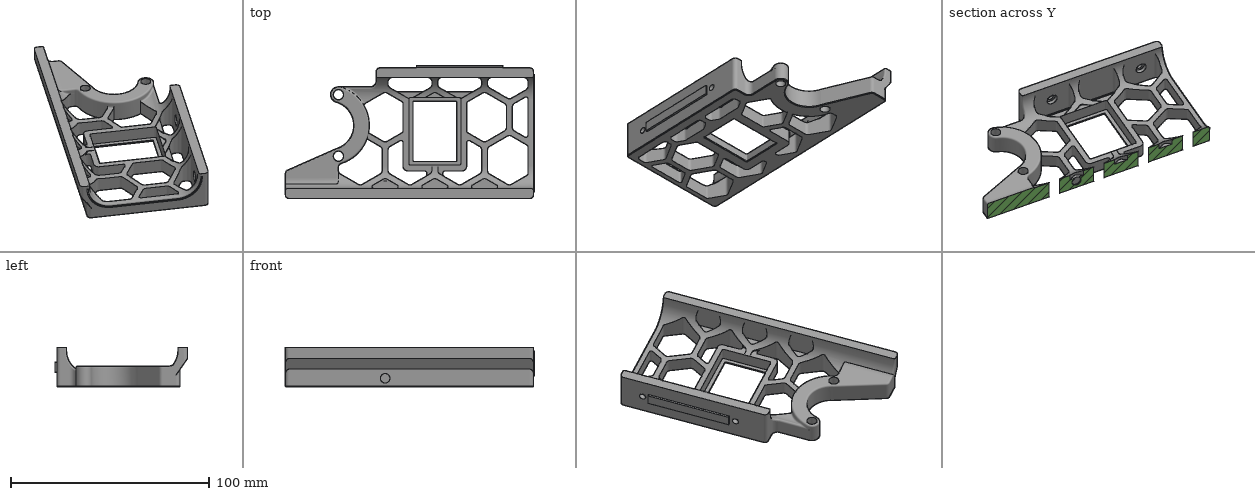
import cadquery as cq
import math

LENGTH = 125.2
BODY_WIDTH = 66.0
HEIGHT = 20.0
WALL = 5.0
BACK_WALL_INNER = BODY_WIDTH - WALL
BACK_WALL_START = 45.8
CORNER_RADIUS = 2.0
EDGE_RADIUS = 0.9
BOTTOM_CHAMFER = 0.4

FLOOR_TOP = 7.2
COVE_RADIUS = 11.0
COVE_TOP = FLOOR_TOP + COVE_RADIUS
RAIL_SETBACK = 3.8
SLOPE_BOTTOM = 9.0
SLOPE_TOP = 14.4

TOLERANCE = 0.1
TOP_EDGE_LIMIT = HEIGHT - 2 * TOLERANCE

ARC_CENTRE = (22.3, 36.9)
SCREW_SPACING = 31.0
SCREW_X = 26.8
SCREW_DIAMETER = 5.0
TIP_RADIUS = 4.0
BOSS_TOP = 10.5
BASE_FILLET = 0.8
FOOT_EDGE_Y = 13.9
FOOT_COVE_RADIUS = 5.2
FOOT_CORNER_RADIUS = 2.0
OUTLINE_FILLET = 3.0

HEX_SIDES = 6
HEX_ROTATION = 180 / HEX_SIDES
HEX_FLATS = 22.0
HEX_PITCH = 25.05
HEX_ROW_PITCH = HEX_PITCH * math.sqrt(3) / 2
HEX_CORNER_RADIUS = 2.0
TRIM_CORNER_RADIUS = 1.0
END_BORDER = 2.9

FRAME_CENTRE = (75.4, 33.9)
RECESS_SIZE = (26.2, 34.0)
RECESS_CORNER_RADIUS = 0.8
WINDOW_SIZE = (22.0, 30.2)
FRAME_RIM = 3.0
FRAME_CORNER_RADIUS = 2.5
FRAME_SIZE = (RECESS_SIZE[0] + 2 * FRAME_RIM, RECESS_SIZE[1] + 2 * FRAME_RIM)
HEADER_LENGTH = 40.2
STUB_WIDTH = 8.2
WINDOW_LEDGE = 0.8

HEX_ROW_1_Y = 41.05
THROUGH_CELLS = [
    (-1, 0), (0, 0), (1, 0),
    (-1, 1), (1, 1), (2, 1),
    (-2, 2), (-1, 2), (0, 2), (1, 2),
]
POCKET_CELLS = [(0, 1), (-1, 3), (0, 3), (1, 3)]

KEY_CENTRE_X = FRAME_CENTRE[0] + HEX_PITCH / 2
KEY_LENGTH = 43.6
KEY_HEIGHT = 5.2
KEY_DEPTH = 1.0
MID_HEIGHT = HEIGHT / 2
WALL_HOLE_DIAMETER = 3.2
WALL_BORE_DIAMETER = 5.6
WALL_BORE_DEPTH = 2.0

RAIL_HOLE_X = FRAME_CENTRE[0] - HEX_PITCH
RAIL_HOLE_Z = 4.4
RAIL_HOLE_DIAMETER = 4.8
RAIL_HOLE_DEPTH = 5.0

LIP_DEPTH = 0.3
LIP_INNER_OFFSET = EDGE_RADIUS
LIP_OUTER_OFFSET = 1.6

UPPER_SCREW = (SCREW_X, ARC_CENTRE[1] + SCREW_SPACING / 2)
LOWER_SCREW = (SCREW_X, ARC_CENTRE[1] - SCREW_SPACING / 2)
SCREW_RADIUS = math.hypot(SCREW_X - ARC_CENTRE[0], SCREW_SPACING / 2)
SCREW_ANGLE = math.atan2(SCREW_SPACING / 2, SCREW_X - ARC_CENTRE[0])
INNER_RADIUS = SCREW_RADIUS - TIP_RADIUS
OUTER_RADIUS = SCREW_RADIUS + TIP_RADIUS
TIP_TOP_Y = UPPER_SCREW[1] + TIP_RADIUS


def on_circle(centre, radius, angle):
    """Point at the given angle (radians) on a circle."""
    return (centre[0] + radius * math.cos(angle), centre[1] + radius * math.sin(angle))


INNER_UPPER = on_circle(ARC_CENTRE, INNER_RADIUS, SCREW_ANGLE)
INNER_LOWER = on_circle(ARC_CENTRE, INNER_RADIUS, -SCREW_ANGLE)
INNER_MIDDLE = on_circle(ARC_CENTRE, INNER_RADIUS, 0)
OUTER_UPPER = on_circle(ARC_CENTRE, OUTER_RADIUS, SCREW_ANGLE)
OUTER_MIDDLE = on_circle(ARC_CENTRE, OUTER_RADIUS, 0)
OUTER_LOWER = (
    SCREW_X,
    ARC_CENTRE[1] - math.sqrt(OUTER_RADIUS**2 - (SCREW_X - ARC_CENTRE[0]) ** 2),
)
TIP_LEFT = on_circle(UPPER_SCREW, TIP_RADIUS, math.pi)


def box(x0, x1, y0, y1, z0, z1):
    """Box between opposite corners."""
    return cq.Workplane("XY").box(x1 - x0, y1 - y0, z1 - z0, centered=False).translate((x0, y0, z0))


def cove_profile(offset):
    """Open sketch along the floor and both coves, moved into the material by the offset."""
    radius = COVE_RADIUS + offset
    diagonal = radius / math.sqrt(2)
    back_centre_y = BACK_WALL_INNER - COVE_RADIUS
    front_centre_y = WALL + COVE_RADIUS
    return (
        cq.Workplane("YZ")
        .moveTo(back_centre_y + radius, COVE_TOP)
        .threePointArc(
            (back_centre_y + diagonal, COVE_TOP - diagonal),
            (back_centre_y, COVE_TOP - radius),
        )
        .lineTo(front_centre_y, COVE_TOP - radius)
        .threePointArc(
            (front_centre_y - diagonal, COVE_TOP - diagonal),
            (front_centre_y - radius, COVE_TOP),
        )
    )


def make_tray():
    """Wall-and-floor section along X, with rounded front corners and cove ends."""
    tray = (
        cove_profile(0)
        .lineTo(WALL, HEIGHT)
        .lineTo(0, HEIGHT)
        .lineTo(0, SLOPE_TOP)
        .lineTo(RAIL_SETBACK, SLOPE_BOTTOM)
        .lineTo(RAIL_SETBACK, 0)
        .lineTo(BODY_WIDTH, 0)
        .lineTo(BODY_WIDTH, HEIGHT)
        .lineTo(BACK_WALL_INNER, HEIGHT)
        .close()
        .extrude(LENGTH)
    )
    front_ends = cq.selectors.BoxSelector(
        (-TOLERANCE, -TOLERANCE, 0),
        (LENGTH + TOLERANCE, RAIL_SETBACK + TOLERANCE, HEIGHT),
    )
    tray = tray.edges(front_ends).edges("|Z").fillet(CORNER_RADIUS)
    tray = tray.intersect(make_stepped_outline())
    far_end = (LENGTH, WALL, FLOOR_TOP), (LENGTH, BACK_WALL_INNER, TOP_EDGE_LIMIT)
    back_start = (0, TIP_TOP_Y, FLOOR_TOP), (BACK_WALL_START, BACK_WALL_INNER, TOP_EDGE_LIMIT)
    tray = round_edges_within(tray, *far_end)
    tray = round_edges_within(tray, *back_start)
    tray = tray.cut(make_opening())
    foot_corner = cq.selectors.NearestToPointSelector((0, FOOT_EDGE_Y, FLOOR_TOP / 2))
    tray = tray.edges(foot_corner).fillet(FOOT_CORNER_RADIUS)
    front_start = (0, WALL, FLOOR_TOP), (0, FOOT_EDGE_Y - FOOT_CORNER_RADIUS, TOP_EDGE_LIMIT)
    return round_edges_within(tray, *front_start)


def round_edges_within(body, low, high):
    """Round the edges whose centres lie between two opposite corners of a box."""
    low = tuple(value - TOLERANCE for value in low)
    high = tuple(value + TOLERANCE for value in high)
    return body.edges(cq.selectors.BoxSelector(low, high)).fillet(EDGE_RADIUS)


def make_stepped_outline():
    """Plan shape with the step where the back wall begins, as a tall prism."""
    outline = (
        cq.Workplane("XY")
        .moveTo(0, 0)
        .lineTo(LENGTH, 0)
        .lineTo(LENGTH, BODY_WIDTH)
        .lineTo(BACK_WALL_START, BODY_WIDTH)
        .lineTo(BACK_WALL_START, TIP_TOP_Y)
        .lineTo(0, TIP_TOP_Y)
        .close()
        .extrude(HEIGHT)
    )
    outline = outline.edges("|Z and >Y").fillet(CORNER_RADIUS)
    inner_corner = cq.selectors.NearestToPointSelector((BACK_WALL_START, TIP_TOP_Y, MID_HEIGHT))
    return outline.edges(inner_corner).fillet(OUTLINE_FILLET)


def make_opening():
    """Open area inside the crescent and above the foot, as a tall prism."""
    return (
        cq.Workplane("XY")
        .moveTo(0, TIP_TOP_Y)
        .lineTo(SCREW_X, TIP_TOP_Y)
        .threePointArc(TIP_LEFT, INNER_UPPER)
        .threePointArc(INNER_MIDDLE, INNER_LOWER)
        .lineTo(0, FOOT_EDGE_Y)
        .close()
        .extrude(HEIGHT)
    )


def make_boss(height):
    """Crescent and foot prism; its front edge is buried in the front cove."""
    front_y = RAIL_SETBACK + CORNER_RADIUS
    boss = (
        cq.Workplane("XY")
        .moveTo(0, front_y)
        .lineTo(SCREW_X, front_y)
        .lineTo(*OUTER_LOWER)
        .threePointArc(OUTER_MIDDLE, OUTER_UPPER)
        .threePointArc(TIP_LEFT, INNER_UPPER)
        .threePointArc(INNER_MIDDLE, INNER_LOWER)
        .lineTo(0, FOOT_EDGE_Y)
        .close()
        .extrude(height)
    )
    foot_corner = cq.selectors.NearestToPointSelector((0, FOOT_EDGE_Y, height / 2))
    neck_corner = cq.selectors.NearestToPointSelector((*OUTER_LOWER, height / 2))
    boss = boss.edges(foot_corner).fillet(FOOT_CORNER_RADIUS)
    return boss.edges(neck_corner).fillet(FOOT_CORNER_RADIUS)


def make_foot_cove():
    """Concave fillet between the foot's top and the front wall."""
    centre_y = WALL + FOOT_COVE_RADIUS
    centre_z = BOSS_TOP + FOOT_COVE_RADIUS
    diagonal = FOOT_COVE_RADIUS / math.sqrt(2)
    cove = (
        cq.Workplane("YZ")
        .moveTo(centre_y, BOSS_TOP)
        .threePointArc((centre_y - diagonal, centre_z - diagonal), (WALL, centre_z))
        .lineTo(WALL, FLOOR_TOP)
        .lineTo(centre_y, FLOOR_TOP)
        .close()
        .extrude(SCREW_X)
    )
    return cove.edges("%CIRCLE").fillet(EDGE_RADIUS)


def hex_cell(column, row):
    """Tall hexagonal prism; even rows are shifted by half a pitch."""
    shift = 0 if row % 2 else HEX_PITCH / 2
    x = FRAME_CENTRE[0] + column * HEX_PITCH + shift
    y = HEX_ROW_1_Y + (1 - row) * HEX_ROW_PITCH
    corner_diameter = HEX_FLATS / math.cos(math.pi / HEX_SIDES)
    cell = cq.Workplane("XY").polygon(HEX_SIDES, corner_diameter).extrude(HEIGHT)
    return cell.rotate((0, 0, 0), (0, 0, 1), HEX_ROTATION).translate((x, y, 0))


def rounded_cell(cell, trimmed, trim_radius):
    """Trimmed cell with its trimmed corners and its own hexagon corners rounded separately."""
    rounded_trim = trimmed.edges("|Z").fillet(trim_radius)
    return rounded_trim.intersect(cell.edges("|Z").fillet(HEX_CORNER_RADIUS))


def frame_prism():
    """Rectangle around the window that through cells leave standing."""
    return cq.Workplane("XY").center(*FRAME_CENTRE).rect(*FRAME_SIZE).extrude(HEIGHT)


def make_kept_area():
    """Frame with its longer +Y bar and the stub that joins it to the front rail."""
    header_x = FRAME_CENTRE[0] - HEADER_LENGTH / 2
    header_y = FRAME_CENTRE[1] + RECESS_SIZE[1] / 2
    header = box(header_x, header_x + HEADER_LENGTH, header_y, header_y + FRAME_RIM, 0, HEIGHT)
    stub_x = FRAME_CENTRE[0] - STUB_WIDTH / 2
    stub = box(stub_x, stub_x + STUB_WIDTH, WALL, FRAME_CENTRE[1], 0, HEIGHT)
    return frame_prism().union(header).union(stub)


def cut_honeycomb(body):
    """Cells go right through, or down to floor level over the frame and the front rail."""
    bounds = box(0, LENGTH - END_BORDER, WALL, BACK_WALL_INNER, 0, HEIGHT)
    boss = make_boss(2 * HEIGHT)
    kept_area = make_kept_area()
    for column, row in THROUGH_CELLS + POCKET_CELLS:
        cell = hex_cell(column, row)
        in_bounds = cell.intersect(bounds)
        trim_radius = TRIM_CORNER_RADIUS if row else HEX_CORNER_RADIUS
        pocket = rounded_cell(cell, in_bounds, trim_radius).translate((0, 0, FLOOR_TOP))
        body = body.cut(pocket.cut(boss))
        if (column, row) in THROUGH_CELLS:
            through = rounded_cell(cell, in_bounds.cut(kept_area), trim_radius)
            body = body.cut(through.cut(boss))
    frame = frame_prism()
    corner_waste = frame.cut(frame.edges("|Z and <Y").fillet(FRAME_CORNER_RADIUS))
    return body.cut(corner_waste)


def cut_window(body):
    """Window with a thin ledge at the bottom of a rectangular recess."""
    window = cq.Workplane("XY").center(*FRAME_CENTRE).rect(*WINDOW_SIZE).extrude(HEIGHT)
    recess = cq.Workplane("XY").workplane(offset=WINDOW_LEDGE).center(*FRAME_CENTRE)
    recess = recess.rect(*RECESS_SIZE).extrude(HEIGHT)
    recess = recess.edges("|Z").fillet(RECESS_CORNER_RADIUS)
    window = window.edges("|Z").fillet(RECESS_CORNER_RADIUS / 2)
    return body.cut(window).cut(recess)


def y_cylinder(x, y, z, diameter, depth):
    """Cylinder starting at the given point and running toward +Y."""
    return cq.Workplane("XZ").circle(diameter / 2).extrude(-depth).translate((x, y, z))


def cut_holes(body):
    """Crescent screw holes, counterbored back wall holes and the front rail hole."""
    screws = cq.Workplane("XY").pushPoints([UPPER_SCREW, LOWER_SCREW])
    body = body.cut(screws.circle(SCREW_DIAMETER / 2).extrude(HEIGHT))
    for x in (KEY_CENTRE_X - HEX_PITCH, KEY_CENTRE_X + HEX_PITCH):
        body = body.cut(y_cylinder(x, BACK_WALL_INNER, MID_HEIGHT, WALL_HOLE_DIAMETER, WALL))
        body = body.cut(y_cylinder(x, BACK_WALL_INNER, MID_HEIGHT, WALL_BORE_DIAMETER, WALL_BORE_DEPTH))
    rail_hole = y_cylinder(RAIL_HOLE_X, RAIL_SETBACK, RAIL_HOLE_Z, RAIL_HOLE_DIAMETER, RAIL_HOLE_DEPTH)
    return body.cut(rail_hole)


def make_key():
    """Locating key on the outside of the back wall."""
    x0 = KEY_CENTRE_X - KEY_LENGTH / 2
    z0 = MID_HEIGHT - KEY_HEIGHT / 2
    return box(x0, x0 + KEY_LENGTH, BODY_WIDTH, BODY_WIDTH + KEY_DEPTH, z0, z0 + KEY_HEIGHT)


def make_lip():
    """Thin band on the +X end, between two offsets of the cove surface."""
    def end_area(offset):
        profile = cove_profile(offset).close().extrude(LIP_DEPTH)
        return profile.translate((LENGTH, 0, 0))

    return end_area(LIP_OUTER_OFFSET).cut(end_area(LIP_INNER_OFFSET))


def blend_boss_base(body):
    """Concave fillet where the outside of the crescent and foot meets the tray."""
    def on_boss_base(edge):
        middle = edge.positionAt(0.5)
        radius = math.hypot(middle.x - ARC_CENTRE[0], middle.y - ARC_CENTRE[1])
        on_arc = middle.x > SCREW_X + TOLERANCE and abs(radius - OUTER_RADIUS) < TOLERANCE
        beside_foot = SCREW_X - TOLERANCE < middle.x < OUTER_UPPER[0]
        on_foot_side = beside_foot and middle.y < OUTER_LOWER[1] + FOOT_CORNER_RADIUS
        at_base = FLOOR_TOP - TOLERANCE < middle.z < BOSS_TOP - EDGE_RADIUS - TOLERANCE
        return at_base and (on_arc or on_foot_side)

    base_edges = [edge for edge in body.edges().vals() if on_boss_base(edge)]
    return body.newObject(base_edges).fillet(BASE_FILLET)


tray = make_tray()
boss = make_boss(BOSS_TOP)
raised = boss.faces(">Z").edges().fillet(EDGE_RADIUS)
body = blend_boss_base(tray.union(raised))
body = body.union(make_foot_cove())
body = body.faces("<Z").edges().chamfer(BOTTOM_CHAMFER)
body = cut_honeycomb(body)
body = cut_window(body)
body = cut_holes(body)
body = body.union(make_key()).union(make_lip())
result = body